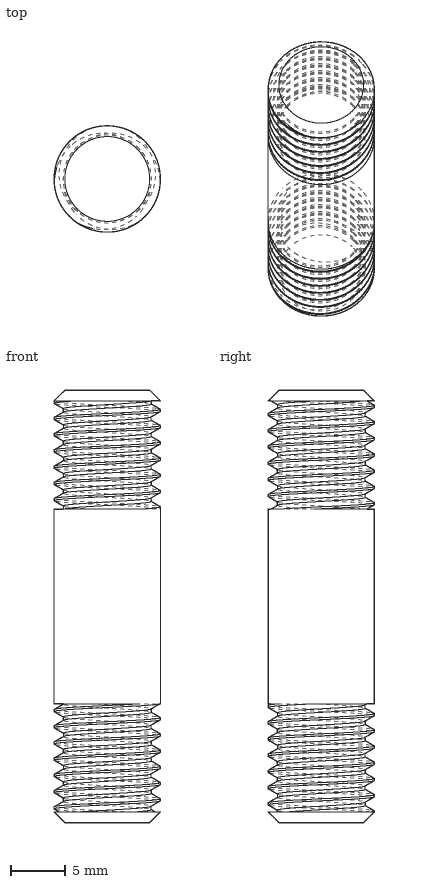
import cadquery as cq
import math


stud_length = 40.0
major_diameter = 9.85
minor_diameter = 8.14
pitch = 1.5
thread_length = 10.0
chamfer_size = 1.0
flank_angle = 60.0
crest_width = pitch / 8
groove_phase = 0.625
radial_overrun = 0.1
overrun_turns = 2
half_turn = 180.0

major_radius = major_diameter / 2
minor_radius = minor_diameter / 2
thread_depth = major_radius - minor_radius
flank_slope = math.tan(math.radians(flank_angle / 2))
mouth_half_width = (pitch - crest_width) / 2 + radial_overrun * flank_slope
root_half_width = (pitch - crest_width) / 2 - thread_depth * flank_slope
cutter_radius = major_radius + radial_overrun

lower_thread_base = chamfer_size
upper_thread_base = stud_length - chamfer_size - thread_length


def make_blank():
    """Plain rod with both ends chamfered."""
    rod = cq.Workplane("XY").circle(major_radius).extrude(stud_length)
    return rod.faces("|Z").chamfer(chamfer_size)


def make_helical_groove(start_height, height):
    """Right-handed helical cutter whose profile starts on the -X side."""
    path = cq.Wire.makeHelix(pitch, height, minor_radius)
    profile = cq.Workplane("XZ").polyline(
        [
            (minor_radius, -root_half_width),
            (cutter_radius, -mouth_half_width),
            (cutter_radius, mouth_half_width),
            (minor_radius, root_half_width),
        ]
    ).close()
    groove = profile.sweep(cq.Workplane(obj=path), isFrenet=True)
    return groove.rotate((0, 0, 0), (0, 0, 1), half_turn).translate((0, 0, start_height))


def make_thread_cutter(base_height):
    """Helical groove ended squarely by flat planes at both ends of the thread."""
    turns_to_base = math.floor((base_height - groove_phase) / pitch)
    start_height = groove_phase + (turns_to_base - 1) * pitch
    groove_height = base_height + thread_length + overrun_turns * pitch - start_height
    groove = make_helical_groove(start_height, groove_height)
    thread_zone = (
        cq.Workplane("XY", origin=(0, 0, base_height))
        .circle(cutter_radius + radial_overrun)
        .extrude(thread_length)
    )
    return groove.intersect(thread_zone)


result = make_blank()
for thread_base in (lower_thread_base, upper_thread_base):
    result = result.cut(make_thread_cutter(thread_base))